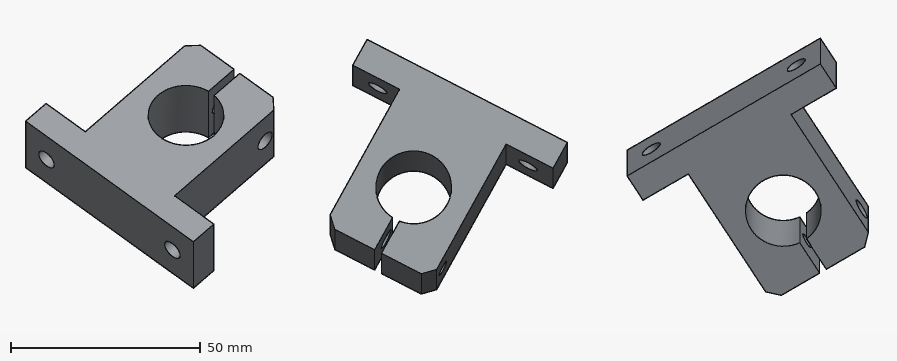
import cadquery as cq

base_width = 60.0
total_depth = 50.0
thickness = 20.0

base_depth = 8.05
body_width = 31.9
corner_chamfer = 3.0

bore_diameter = 20.0
bore_center_y = 30.0
slot_width = 2.05

mount_hole_diameter = 5.5
mount_hole_spacing = 45.0
threaded_hole_diameter = 4.15
clearance_hole_diameter = 5.5
clamp_hole_y = 43.5


def make_block():
    """T-shaped block with chamfered corners on the clamp end."""
    base = cq.Workplane("XY").box(base_width, base_depth, thickness, centered=(True, False, True))
    body = cq.Workplane("XY").box(body_width, total_depth, thickness, centered=(True, False, True))
    body = body.edges("|Z and >Y").chamfer(corner_chamfer)
    return base.union(body)


def make_bore():
    """Shaft bore through the full thickness."""
    return cq.Workplane("XY").center(0, bore_center_y).circle(bore_diameter / 2).extrude(thickness, both=True)


def make_slot():
    """Clamping slot from the bore center out through the clamp end."""
    slot_length = total_depth - bore_center_y
    slot = cq.Workplane("XY").box(slot_width, slot_length, thickness, centered=(True, False, True))
    return slot.translate((0, bore_center_y, 0))


def make_mount_holes():
    """Pair of holes through the base along Y."""
    half_spacing = mount_hole_spacing / 2
    return (
        cq.Workplane("XZ")
        .pushPoints([(-half_spacing, 0), (half_spacing, 0)])
        .circle(mount_hole_diameter / 2)
        .extrude(-base_depth)
    )


def make_clamp_hole(diameter, side):
    """Screw hole through one clamp jaw; side is +1 or -1 along X."""
    return (
        cq.Workplane("YZ")
        .center(clamp_hole_y, 0)
        .circle(diameter / 2)
        .extrude(side * body_width / 2)
    )


result = (
    make_block()
    .cut(make_bore())
    .cut(make_slot())
    .cut(make_mount_holes())
    .cut(make_clamp_hole(threaded_hole_diameter, -1))
    .cut(make_clamp_hole(clearance_hole_diameter, 1))
)